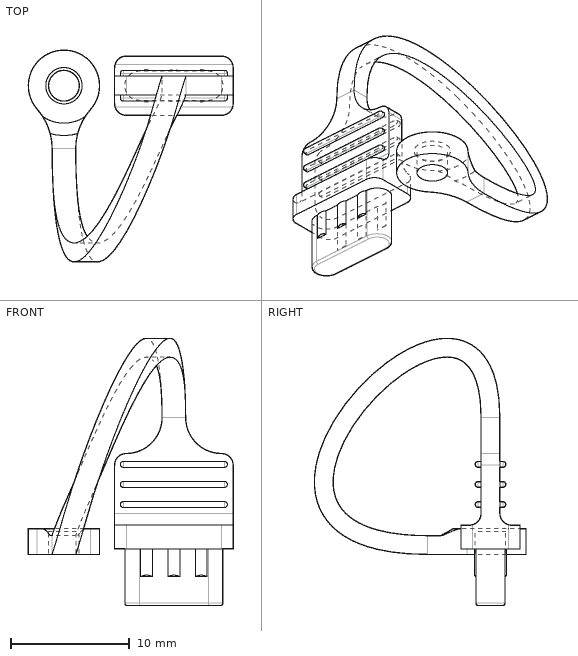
import cadquery as cq
import math

flange_length = 10.0
flange_width = 5.0
flange_height = 2.0
corner_radius = 1.0

strap_width = 2.0
strap_thickness = 1.6
handle_pull = 17.9
ring_pull = 22.37

handle_thickness = 1.6
shoulder_height = 8.04
neck_radius = (flange_length - strap_width) / 2 - corner_radius
neck_height = shoulder_height + neck_radius
root_radius = 1.0

grip_length = 9.0
grip_width = 0.5
grip_count = 3
grip_bottom = 3.74
grip_pitch = 1.69

insert_length = 8.25
insert_width = 2.45
insert_depth = 4.77
insert_edge_radius = 0.2
rib_radius = 1.0
rib_chord = 1.0
rib_pitch = 2.3
rib_depth = 2.35

ring_x = -9.25
ring_bottom = -0.47
ring_diameter = 6.0
ring_height = 2.18
hole_diameter = 2.57
hole_chamfer = 0.25
slope_start_radius = 3.15
slope_end_radius = 4.19
blend_radius = 5.0

ring_radius = ring_diameter / 2
half_strap = strap_width / 2
blend_x = half_strap + blend_radius
blend_y = -math.sqrt((ring_radius + blend_radius) ** 2 - blend_x**2)


def make_flange_and_handle():
    half_length = flange_length / 2
    half_width = flange_width / 2
    half_handle = handle_thickness / 2
    root_y = half_handle + root_radius
    root_z = flange_height + root_radius
    side_profile = (
        cq.Workplane("YZ", origin=(-half_length, 0, 0))
        .moveTo(-half_width, 0)
        .lineTo(half_width, 0)
        .lineTo(half_width, flange_height)
        .lineTo(root_y, flange_height)
        .radiusArc((half_handle, root_z), root_radius)
        .lineTo(half_handle, neck_height)
        .lineTo(-half_handle, neck_height)
        .lineTo(-half_handle, root_z)
        .radiusArc((-root_y, flange_height), root_radius)
        .lineTo(-half_width, flange_height)
        .close()
        .extrude(flange_length)
    )
    shoulder_x = half_length - corner_radius
    corner_z = shoulder_height - corner_radius
    front_outline = (
        cq.Workplane("XZ", origin=(0, half_width, 0))
        .moveTo(-half_length, 0)
        .lineTo(half_length, 0)
        .lineTo(half_length, corner_z)
        .radiusArc((shoulder_x, shoulder_height), -corner_radius)
        .radiusArc((half_strap, neck_height), neck_radius)
        .lineTo(-half_strap, neck_height)
        .radiusArc((-shoulder_x, shoulder_height), neck_radius)
        .radiusArc((-half_length, corner_z), -corner_radius)
        .close()
        .extrude(flange_width)
    )
    plan = (
        cq.Workplane("XY")
        .rect(flange_length, flange_width)
        .extrude(neck_height)
        .edges("|Z")
        .fillet(corner_radius)
    )
    return side_profile.intersect(front_outline).intersect(plan)


def make_grip_bars():
    """Bars through the handle whose two exposed crests are fully rounded."""
    radius = grip_width / 2
    crest_y = handle_thickness / 2 + radius
    straight = grip_length - grip_width
    bars = cq.Workplane("XY")
    for i in range(grip_count):
        height = grip_bottom + i * grip_pitch
        core = (
            cq.Workplane("XZ", origin=(0, crest_y, height))
            .slot2D(grip_length, grip_width)
            .extrude(2 * crest_y)
        )
        bars = bars.union(core)
        for y in (-crest_y, crest_y):
            crest = cq.Workplane("YZ", origin=(-straight / 2, y, height)).circle(radius).extrude(straight)
            bars = bars.union(crest)
            for x in (-straight / 2, straight / 2):
                bars = bars.union(cq.Workplane("XY", origin=(x, y, height)).sphere(radius))
    return bars


def make_insert():
    body = (
        cq.Workplane("XY")
        .slot2D(insert_length, insert_width)
        .extrude(-insert_depth)
        .faces("<Z")
        .edges()
        .fillet(insert_edge_radius)
    )
    rib_centre_y = insert_width / 2 - math.sqrt(rib_radius**2 - (rib_chord / 2) ** 2)
    rib_crest_y = rib_centre_y + rib_radius
    rib_rise = rib_crest_y - insert_width / 2
    rib_centres = [(i * rib_pitch, side * rib_centre_y) for i in (-1, 0, 1) for side in (-1, 1)]
    ribs = cq.Workplane("XY").pushPoints(rib_centres).circle(rib_radius).extrude(-rib_depth)
    sloped_envelope = (
        cq.Workplane("XY")
        .rect(insert_length, 2 * rib_crest_y)
        .extrude(-rib_depth)
        .faces("<Z")
        .edges("|X")
        .chamfer(rib_rise)
    )
    return body.union(ribs.intersect(sloped_envelope))


def make_ring():
    """Ring with a concave neck that slopes down to the thickness of the strap."""
    touch = ring_radius / (ring_radius + blend_radius)
    touch_x = blend_x * touch
    touch_y = blend_y * touch
    outline = (
        cq.Workplane("XY", origin=(ring_x, 0, ring_bottom))
        .moveTo(-half_strap, blend_y)
        .lineTo(half_strap, blend_y)
        .radiusArc((touch_x, touch_y), blend_radius)
        .threePointArc((0, ring_radius), (-touch_x, touch_y))
        .radiusArc((-half_strap, blend_y), blend_radius)
        .close()
        .extrude(ring_height)
    )
    reach = -2 * blend_y
    top_envelope = (
        cq.Workplane("XZ", origin=(ring_x, 0, ring_bottom))
        .moveTo(0, 0)
        .lineTo(reach, 0)
        .lineTo(reach, strap_thickness)
        .lineTo(slope_end_radius, strap_thickness)
        .lineTo(slope_start_radius, ring_height)
        .lineTo(0, ring_height)
        .close()
        .revolve(360, (0, 0, 0), (0, 1, 0))
    )
    hole_radius = hole_diameter / 2
    hole = cq.Workplane("XY", origin=(ring_x, 0, ring_bottom)).circle(hole_radius).extrude(ring_height)
    countersink = cq.Solid.makeCone(
        hole_radius,
        hole_radius + hole_chamfer,
        hole_chamfer,
        cq.Vector(ring_x, 0, ring_bottom + ring_height - hole_chamfer),
    )
    return outline.intersect(top_envelope).cut(hole).cut(countersink)


def make_strap():
    """Strap that leaves the handle upwards and reaches the ring heading towards +Y."""
    ring_z = ring_bottom + strap_thickness / 2
    path = cq.Edge.makeBezier(
        [
            cq.Vector(0, 0, neck_height),
            cq.Vector(0, 0, neck_height + handle_pull),
            cq.Vector(ring_x, blend_y - ring_pull, ring_z),
            cq.Vector(ring_x, blend_y, ring_z),
        ]
    )
    guide = cq.Workplane(path.translate(cq.Vector(strap_width, 0, 0)))
    return (
        cq.Workplane("XY", origin=(0, 0, neck_height))
        .rect(strap_width, strap_thickness)
        .sweep(cq.Workplane(path), auxSpine=guide)
    )


result = make_flange_and_handle().union(make_grip_bars()).union(make_insert())
result = result.union(make_ring()).union(make_strap())